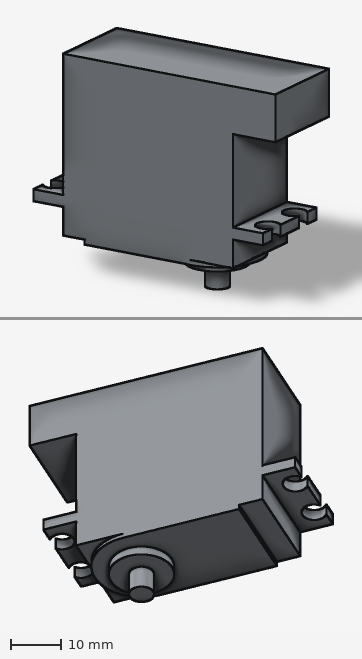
import cadquery as cq

total_length = 57.0
total_height = 46.0
width = 20.0

tab_length = 7.0
overhang_length = 10.0
overhang_height = 10.0
case_length = total_length - tab_length - overhang_length

plate_thickness = 1.0
plate_inset = 5.0
collar_diameter = 13.0
collar_height = 2.0
shaft_diameter = 5.0
shaft_height = 5.0
case_height = total_height - plate_thickness - collar_height - shaft_height

tab_thickness = 2.5
tab_top_depth = 29.45
hole_diameter = 5.0
hole_spacing = width / 2
hole_edge_distance = 2.0

plate_bottom = shaft_height + collar_height
case_bottom = plate_bottom + plate_thickness
tab_bottom = total_height - tab_top_depth - tab_thickness
plate_end_radius = width / 2
shaft_x = case_length - plate_end_radius


def block(x_start, length, z_start, height):
    """Full-width box centred on Y."""
    return (
        cq.Workplane("XY", origin=(x_start, 0, z_start))
        .box(length, width, height, centered=(False, True, False))
    )


def cylinder(x, y, diameter, z_start, height):
    """Vertical cylinder rising from z_start."""
    return cq.Workplane("XY", origin=(x, y, z_start)).circle(diameter / 2).extrude(height)


def make_case():
    case = block(0, case_length, case_bottom, case_height)
    head = block(
        0, case_length + overhang_length, total_height - overhang_height, overhang_height
    )
    return case.union(head)


def make_bottom_plate():
    """Raised plate with a full-width semicircular end around the shaft."""
    straight = block(plate_inset, shaft_x - plate_inset, plate_bottom, plate_thickness)
    rounded_end = cylinder(shaft_x, 0, 2 * plate_end_radius, plate_bottom, plate_thickness)
    return straight.union(rounded_end)


def make_tabs():
    """Strip through the case forming both tabs, with holes open to the tab ends."""
    tabs = block(-tab_length, case_length + 2 * tab_length, tab_bottom, tab_thickness)
    left_hole_x = -tab_length + hole_edge_distance
    right_hole_x = case_length + tab_length - hole_edge_distance
    for x in (left_hole_x, right_hole_x):
        for y in (-hole_spacing / 2, hole_spacing / 2):
            tabs = tabs.cut(cylinder(x, y, hole_diameter, tab_bottom, tab_thickness))
    return tabs


collar = cylinder(shaft_x, 0, collar_diameter, shaft_height, collar_height)
shaft = cylinder(shaft_x, 0, shaft_diameter, 0, shaft_height)

result = make_case().union(make_bottom_plate()).union(make_tabs()).union(collar).union(shaft)